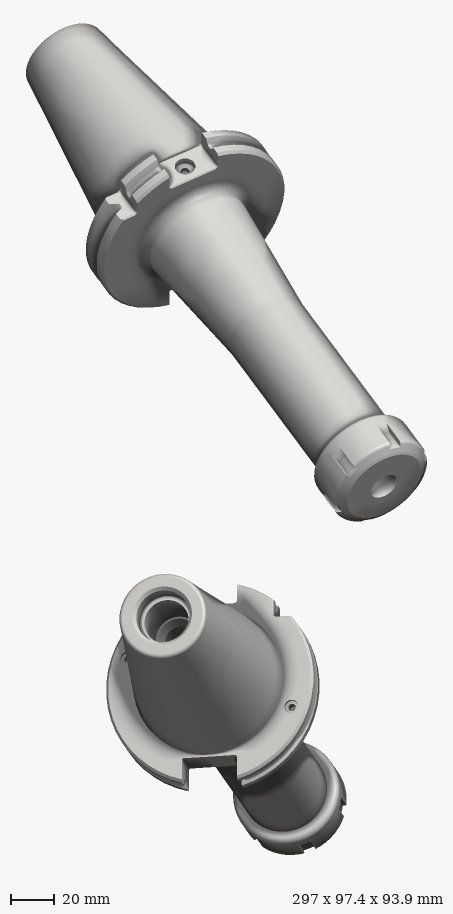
import cadquery as cq
import math

total_length = 297.0

taper_slope = 7 / 48
gauge_radius = 35.0
taper_length = 102.0
taper_end_round = 1.8
relief_radius = 34.0
relief_bevel = 1.0

flange_start = 105.0
flange_end = 121.0
flange_radius = 48.7
flange_chamfer = 1.2
groove_center = 113.0
groove_opening = 6.5
groove_floor = 2.7
groove_depth = 3.3
groove_fillet = 1.0

slot_width = 25.8
upper_slot_floor = 37.7
lower_slot_floor = 35.5
notch_offset = 30.0
cutout_fillet = 1.0
cutout_bevel = 0.5

slot_hole_radius = 2.0
slot_hole_depth = 6.0
slot_counterbore_radius = 4.8
slot_counterbore_depth = 3.5

face_hole_count = 2
face_hole_circle = 41.0
face_hole_angle = 20.0
face_hole_radius = 1.8
face_hole_depth = 6.0
face_counterbore_radius = 3.3
face_counterbore_depth = 1.5

neck_radius = 25.5
neck_fillet = 4.8
neck_end = 188.5
shank_radius = 20.0
shank_end = 291.0
nose_radius = 19.0

bore_mouth_radius = 14.0
bore_mouth_chamfer = 1.5
counterbore_radius = 12.5
counterbore_depth = 9.8
thread_radius = 10.5
thread_depth = 35.5
bore_cone_radius = 9.5
bore_cone_length = 4.5
bore_diameter = 14.0
bore_radius = bore_diameter / 2

nut_start = 274.0
nut_radius = 25.0
nut_back_fillet = 2.7
nut_front_round_start = 292.5
nut_front_cone_start = 294.5
nut_front_cone_start_radius = 24.0
nut_front_cone_end = 296.5
nut_front_cone_end_radius = 20.8
nut_face_radius = 19.5
nut_turn = -48.0
nut_slot_count = 6
nut_slot_width = 5.5
nut_slot_depth = 2.5
nut_slot_start = 281.0
nut_slot_ramp = 4.0


def revolve_profile(profile):
    """Turn a closed (x, radius) sketch about the X axis."""
    return profile.close().revolve(360, (0, 0, 0), (1, 0, 0))


def turn(body, angle):
    """Rotate a body about the X axis."""
    return body.rotate((0, 0, 0), (1, 0, 0), angle)


def make_counterbored_hole(plane, radius, depth, counterbore_radius, counterbore_depth):
    """Blind hole sunk along the normal of a plane, widened at its mouth."""
    hole = plane.circle(radius).extrude(depth)
    return hole.union(plane.circle(counterbore_radius).extrude(counterbore_depth))


def make_blank():
    """Taper, flange, neck and shank as one turned piece."""
    round_end_radius = gauge_radius - (taper_length - taper_end_round) * taper_slope
    round_bulge = taper_end_round * (1 - math.sqrt(0.5))
    fillet_top = neck_radius + neck_fillet
    fillet_end = flange_end + neck_fillet
    fillet_bulge = neck_fillet * (1 - math.sqrt(0.5))
    groove_bottom = flange_radius - groove_depth
    blank = revolve_profile(
        cq.Workplane("XZ")
        .moveTo(0, 0)
        .lineTo(0, round_end_radius - taper_end_round)
        .threePointArc((round_bulge, round_end_radius - round_bulge), (taper_end_round, round_end_radius))
        .lineTo(taper_length, gauge_radius)
        .lineTo(taper_length + relief_bevel, relief_radius)
        .lineTo(flange_start - relief_bevel, relief_radius)
        .lineTo(flange_start, relief_radius + relief_bevel)
        .lineTo(flange_start, flange_radius - flange_chamfer)
        .lineTo(flange_start + flange_chamfer, flange_radius)
        .lineTo(groove_center - groove_opening / 2, flange_radius)
        .lineTo(groove_center - groove_floor / 2, groove_bottom)
        .lineTo(groove_center + groove_floor / 2, groove_bottom)
        .lineTo(groove_center + groove_opening / 2, flange_radius)
        .lineTo(flange_end - flange_chamfer, flange_radius)
        .lineTo(flange_end, flange_radius - flange_chamfer)
        .lineTo(flange_end, fillet_top)
        .threePointArc((flange_end + fillet_bulge, neck_radius + fillet_bulge), (fillet_end, neck_radius))
        .lineTo(neck_end, shank_radius)
        .lineTo(nut_start - (shank_radius - nose_radius), shank_radius)
        .lineTo(nut_start, nose_radius)
        .lineTo(shank_end, nose_radius)
        .lineTo(shank_end, 0)
    )
    groove_corners = cq.selectors.BoxSelector(
        (groove_center - groove_floor, -3, -3), (groove_center + groove_floor, 3, 3)
    )
    return blank.edges(groove_corners).fillet(groove_fillet)


def make_bore():
    """Mouth chamfer, counterbore, threaded length and through bore."""
    return revolve_profile(
        cq.Workplane("XZ")
        .moveTo(0, 0)
        .lineTo(0, bore_mouth_radius)
        .lineTo(bore_mouth_chamfer, counterbore_radius)
        .lineTo(counterbore_depth, counterbore_radius)
        .lineTo(counterbore_depth, thread_radius)
        .lineTo(thread_depth, thread_radius)
        .lineTo(thread_depth, bore_cone_radius)
        .lineTo(thread_depth + bore_cone_length, bore_radius)
        .lineTo(shank_end, bore_radius)
        .lineTo(shank_end, 0)
    )


def make_cutout(floor, left, right):
    """Block across the flange width above a floor height, rounded along its two lower corners."""
    height = flange_radius
    return (
        cq.Workplane("XY", origin=(flange_start, 0, floor))
        .moveTo(0, left)
        .rect(flange_end - flange_start, right - left, centered=False)
        .extrude(height)
        .edges("|X and <Z")
        .fillet(cutout_fillet)
    )


def make_floor_bevel(floor, left, right):
    """Block that bevels both end edges of a cutout floor."""
    return (
        cq.Workplane("XZ", origin=(0, right, 0))
        .moveTo(flange_start, floor - cutout_bevel)
        .lineTo(flange_start + cutout_bevel, floor)
        .lineTo(flange_end - cutout_bevel, floor)
        .lineTo(flange_end, floor - cutout_bevel)
        .lineTo(flange_end, floor + cutout_bevel)
        .lineTo(flange_start, floor + cutout_bevel)
        .close()
        .extrude(right - left)
    )


def make_flange_cutouts():
    """Both drive slots and the orientation notch, across the whole flange width."""
    half_width = slot_width / 2
    flat_half_width = half_width - cutout_fillet
    flat_notch_start = notch_offset + cutout_fillet
    upper = make_cutout(upper_slot_floor, -half_width, half_width)
    upper_bevel = make_floor_bevel(upper_slot_floor, -flat_half_width, flat_half_width)
    lower = turn(make_cutout(lower_slot_floor, -half_width, half_width), 180)
    notch = make_cutout(notch_offset, -flange_radius, -notch_offset)
    notch_floor_bevel = make_floor_bevel(notch_offset, -flange_radius, -flat_notch_start)
    notch_wall_bevel = turn(make_floor_bevel(notch_offset, flat_notch_start, flange_radius), 90)
    return [upper, upper_bevel, lower, notch, notch_floor_bevel, notch_wall_bevel]


def make_slot_hole():
    floor = cq.Workplane("XY", origin=(groove_center, 0, upper_slot_floor))
    return make_counterbored_hole(
        floor, slot_hole_radius, -slot_hole_depth, slot_counterbore_radius, -slot_counterbore_depth
    )


def make_face_hole(angle):
    face = cq.Workplane("YZ", origin=(flange_start, 0, 0)).center(face_hole_circle, 0)
    hole = make_counterbored_hole(
        face, face_hole_radius, face_hole_depth, face_counterbore_radius, face_counterbore_depth
    )
    return turn(hole, angle)


def make_holder():
    holder = make_blank().cut(make_bore())
    for cutout in make_flange_cutouts():
        holder = holder.cut(cutout)
    holder = holder.cut(make_slot_hole())
    for index in range(face_hole_count):
        holder = holder.cut(make_face_hole(face_hole_angle + index * 360 / face_hole_count))
    return holder


def make_nut_slot(angle):
    """Spanner slot with a ramped rear end, open at the front of the nut."""
    floor = nut_radius - nut_slot_depth
    slot = (
        cq.Workplane("XZ", origin=(0, nut_slot_width / 2, 0))
        .moveTo(nut_slot_start, nut_radius)
        .lineTo(nut_slot_start + nut_slot_ramp, floor)
        .lineTo(total_length, floor)
        .lineTo(total_length, nut_radius)
        .close()
        .extrude(nut_slot_width)
    )
    return turn(slot, angle)


def make_nut():
    """Nut with a recess for the holder nose and a bore through its front wall."""
    fillet_drop = nut_back_fillet * (1 - math.sqrt(0.5))
    nut = revolve_profile(
        cq.Workplane("XZ")
        .moveTo(nut_start, nose_radius)
        .lineTo(nut_start, nut_radius - nut_back_fillet)
        .threePointArc(
            (nut_start + fillet_drop, nut_radius - fillet_drop),
            (nut_start + nut_back_fillet, nut_radius),
        )
        .lineTo(nut_front_round_start, nut_radius)
        .tangentArcPoint((nut_front_cone_start, nut_front_cone_start_radius), relative=False)
        .lineTo(nut_front_cone_end, nut_front_cone_end_radius)
        .lineTo(total_length, nut_face_radius)
        .lineTo(total_length, bore_radius)
        .lineTo(shank_end, bore_radius)
        .lineTo(shank_end, nose_radius)
    )
    for index in range(nut_slot_count):
        nut = nut.cut(make_nut_slot((index + 0.5) * 360 / nut_slot_count))
    return turn(nut, nut_turn)


holder = make_holder()
nut = make_nut()

result = cq.Compound.makeCompound([holder.val(), nut.val()])